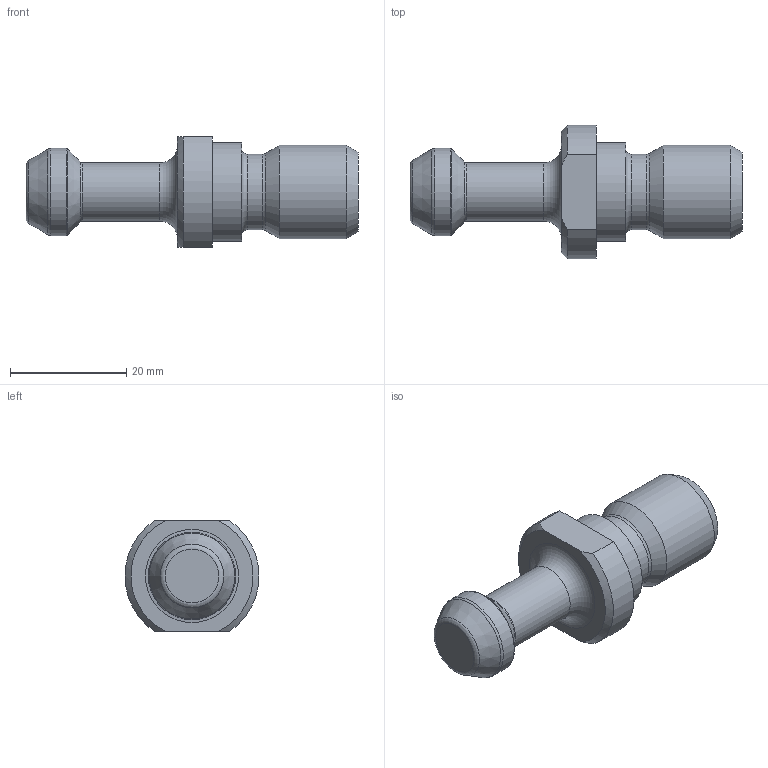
import cadquery as cq
import math


TOTAL_LENGTH = 57.0
HEAD_FRONT_CORNER = 4.0
HEAD_BACK_CORNER = 7.0
COLLAR_START = 26.0
COLLAR_END = 32.0
PILOT_END = 37.0
SHANK_START = 43.5
SHANK_END = 55.0

HEAD_DIAMETER = 15.0
NECK_DIAMETER = 10.0
COLLAR_DIAMETER = 23.0
PILOT_DIAMETER = 17.0
RELIEF_DIAMETER = 13.0
SHANK_DIAMETER = 16.0

HEAD_FRONT_ANGLE = 30.0
HEAD_BACK_ANGLE = 45.0
SHANK_CONE_ANGLE = 30.0
COLLAR_CHAMFER = 1.0
WRENCH_WIDTH = 19.0

HEAD_FRONT_FILLET = 1.0
HEAD_BACK_FILLET = 0.2
NECK_HEAD_FILLET = 0.5
NECK_COLLAR_FILLET = 3.0
RELIEF_FILLET = 1.0


def cone_drop(length, angle):
    """Change of radius over a length of a cone inclined at an angle to the axis."""
    return length * math.tan(math.radians(angle))


def cone_run(drop, angle):
    """Length of a cone, inclined at an angle to the axis, that changes the radius by a drop."""
    return drop / math.tan(math.radians(angle))


def corner_arc(before, corner, after, radius):
    """Start, middle and end of the fillet arc that rounds a corner of the outline."""
    corner_point = cq.Vector(*corner)
    to_before = (cq.Vector(*before) - corner_point).normalized()
    to_after = (cq.Vector(*after) - corner_point).normalized()
    half_angle = to_before.getAngle(to_after) / 2
    setback = radius / math.tan(half_angle)
    bisector = (to_before + to_after).normalized()
    middle_distance = radius / math.sin(half_angle) - radius
    points = (
        corner_point + to_before * setback,
        corner_point + bisector * middle_distance,
        corner_point + to_after * setback,
    )
    return [point.toTuple()[:2] for point in points]


def body_outline():
    """Half outline as (station, radius, fillet radius) corners; zero means a sharp corner."""
    head_radius = HEAD_DIAMETER / 2
    neck_radius = NECK_DIAMETER / 2
    collar_radius = COLLAR_DIAMETER / 2
    pilot_radius = PILOT_DIAMETER / 2
    relief_radius = RELIEF_DIAMETER / 2
    shank_radius = SHANK_DIAMETER / 2

    head_tip_radius = head_radius - cone_drop(HEAD_FRONT_CORNER, HEAD_FRONT_ANGLE)
    neck_start = HEAD_BACK_CORNER + cone_run(head_radius - neck_radius, HEAD_BACK_ANGLE)
    relief_end = SHANK_START - cone_run(shank_radius - relief_radius, SHANK_CONE_ANGLE)
    shank_tip_radius = shank_radius - cone_drop(TOTAL_LENGTH - SHANK_END, SHANK_CONE_ANGLE)

    return [
        (0, 0, 0),
        (0, head_tip_radius, HEAD_FRONT_FILLET),
        (HEAD_FRONT_CORNER, head_radius, HEAD_FRONT_FILLET),
        (HEAD_BACK_CORNER, head_radius, HEAD_BACK_FILLET),
        (neck_start, neck_radius, NECK_HEAD_FILLET),
        (COLLAR_START, neck_radius, NECK_COLLAR_FILLET),
        (COLLAR_START, collar_radius - COLLAR_CHAMFER, 0),
        (COLLAR_START + COLLAR_CHAMFER, collar_radius, 0),
        (COLLAR_END, collar_radius, 0),
        (COLLAR_END, pilot_radius, 0),
        (PILOT_END, pilot_radius, 0),
        (PILOT_END, relief_radius, RELIEF_FILLET),
        (relief_end, relief_radius, RELIEF_FILLET),
        (SHANK_START, shank_radius, 0),
        (SHANK_END, shank_radius, 0),
        (TOTAL_LENGTH, shank_tip_radius, 0),
        (TOTAL_LENGTH, 0, 0),
    ]


def turned_body():
    """Revolve the half outline about the X axis."""
    corners = body_outline()
    profile = cq.Workplane("XY").moveTo(*corners[0][:2])
    for index in range(1, len(corners)):
        corner = corners[index][:2]
        fillet = corners[index][2]
        if fillet == 0:
            profile = profile.lineTo(*corner)
            continue
        before = corners[index - 1][:2]
        after = corners[index + 1][:2]
        arc_start, arc_middle, arc_end = corner_arc(before, corner, after, fillet)
        profile = profile.lineTo(*arc_start).threePointArc(arc_middle, arc_end)
    body = profile.close().revolve(360, (0, 0, 0), (1, 0, 0))
    return body.translate((-TOTAL_LENGTH / 2, 0, 0))


def cut_wrench_flats(body):
    """Trim the collar to two flats, square to Z; everything else is narrower than the flats."""
    clearance_size = 2 * TOTAL_LENGTH
    envelope = cq.Workplane("XY").box(clearance_size, clearance_size, WRENCH_WIDTH)
    return body.intersect(envelope)


result = cut_wrench_flats(turned_body())